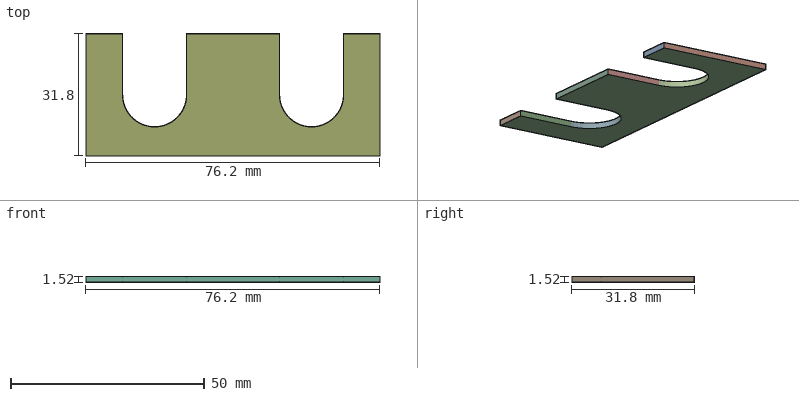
import cadquery as cq

plate_length = 76.2
plate_width = 31.75
plate_thickness = 1.52

slot_width = 16.51
slot_spacing = 40.64
slot_center_y = 0.0


def make_plate():
    """Flat rectangular plate centred on the origin in X, Y and Z."""
    return cq.Workplane("XY").box(plate_length, plate_width, plate_thickness)


def make_slot(center_x):
    """Through cutter with a half-round end, open at the +Y edge."""
    radius = slot_width / 2
    left = center_x - radius
    right = center_x + radius
    open_end_y = plate_width / 2
    return (
        cq.Workplane("XY")
        .moveTo(left, open_end_y)
        .lineTo(left, slot_center_y)
        .threePointArc((center_x, slot_center_y - radius), (right, slot_center_y))
        .lineTo(right, open_end_y)
        .close()
        .extrude(plate_thickness, both=True)
    )


result = make_plate()
for side in (-1, 1):
    result = result.cut(make_slot(side * slot_spacing / 2))